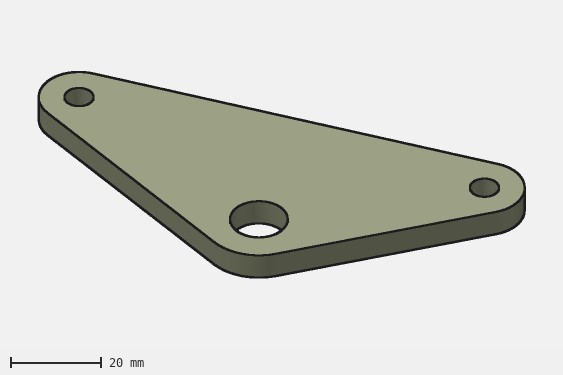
import cadquery as cq
import math

length = 112.4
width = 49.5
thickness = 6.3

end_radius = 8.9
pivot_radius = 12.7
end_hole_diameter = 6.4
pivot_hole_diameter = 12.7

end_hole_spacing = length - 2 * end_radius
end_hole_rise = 1.7
pivot_offset = 52.2
pivot_drop = width - end_radius - pivot_radius - end_hole_rise

corners = [
    (0, 0, end_radius, end_hole_diameter),
    (pivot_offset, -pivot_drop, pivot_radius, pivot_hole_diameter),
    (end_hole_spacing, end_hole_rise, end_radius, end_hole_diameter),
]


def edge_normal_angle(start, end):
    """Direction of the outward normal of the line tangent to two corner rounds."""
    dx = end[0] - start[0]
    dy = end[1] - start[1]
    taper = math.acos((start[2] - end[2]) / math.hypot(dx, dy))
    return math.atan2(dy, dx) - taper


def point_on_round(corner, angle):
    x, y, radius, _ = corner
    return (x + radius * math.cos(angle), y + radius * math.sin(angle))


def plate():
    """Triangular plate with straight edges tangent to the corner rounds."""
    outline = None
    for i, corner in enumerate(corners):
        arrival = edge_normal_angle(corners[i - 1], corner)
        departure = edge_normal_angle(corner, corners[(i + 1) % len(corners)])
        sweep = (departure - arrival) % (2 * math.pi)
        arc_start = point_on_round(corner, arrival)
        arc_middle = point_on_round(corner, arrival + sweep / 2)
        arc_end = point_on_round(corner, departure)
        if outline is None:
            outline = cq.Workplane("XY").moveTo(*arc_start)
        else:
            outline = outline.lineTo(*arc_start)
        outline = outline.threePointArc(arc_middle, arc_end)
    return outline.close().extrude(thickness)


def through_hole(corner):
    x, y, _, diameter = corner
    return cq.Workplane("XY").center(x, y).circle(diameter / 2).extrude(thickness)


result = plate()
for corner in corners:
    result = result.cut(through_hole(corner))